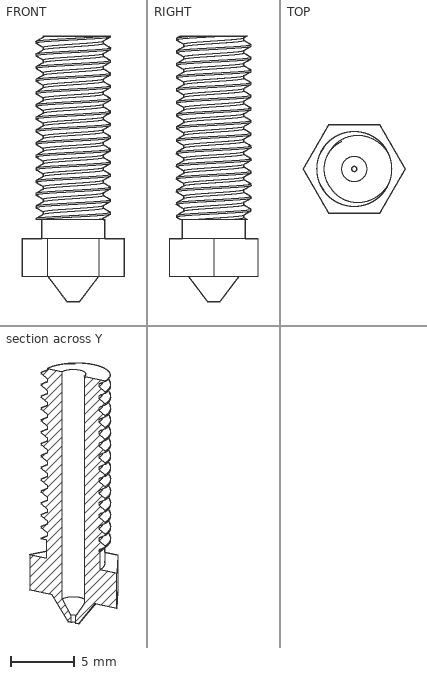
import cadquery as cq
import math

total_height = 21.0
hex_bottom = 2.0
hex_top = 5.0
thread_bottom = 6.5

hex_across_flats = 7.0
tip_diameter = 0.97
tip_base_diameter = 4.0
neck_diameter = 5.0

thread_diameter = 5.92
thread_root_diameter = 4.77
thread_turns = 14.5
thread_flank_angle = 30.0
crest_height = 0.13
ridge_embed = 0.02

bore_diameter = 2.0
orifice_diameter = 0.4
orifice_length = 0.6
bore_cone_half_angle = 33.0

thread_length = total_height - thread_bottom
pitch = thread_length / thread_turns


def cylinder(diameter, bottom, top):
    return cq.Workplane("XY").workplane(offset=bottom).circle(diameter / 2).extrude(top - bottom)


def make_tip():
    """Cone that widens from the flat tip to the underside of the hexagon."""
    outline = [
        (0, 0),
        (tip_diameter / 2, 0),
        (tip_base_diameter / 2, hex_bottom),
        (0, hex_bottom),
    ]
    return cq.Workplane("XZ").polyline(outline).close().revolve(360, (0, 0), (0, 1))


def make_hexagon():
    """Wrench hexagon with two corners on the X axis."""
    across_corners = hex_across_flats / math.cos(math.pi / 6)
    height = hex_top - hex_bottom
    return cq.Workplane("XY").workplane(offset=hex_bottom).polygon(6, across_corners).extrude(height)


def make_thread():
    """Helical ridge on a root cylinder, cut flat at both ends of the thread."""
    root_radius = thread_root_diameter / 2
    crest_radius = thread_diameter / 2
    inner_radius = root_radius - ridge_embed
    flank_slope = math.tan(math.radians(thread_flank_angle))
    half_crest = crest_height / 2
    half_base = half_crest + (crest_radius - inner_radius) * flank_slope

    helix_turns = math.ceil(thread_turns) + 2
    start_z = total_height - (helix_turns - 1) * pitch
    helix = cq.Wire.makeHelix(pitch, helix_turns * pitch, root_radius)
    path = cq.Workplane("XY").add(helix.translate(cq.Vector(0, 0, start_z)))
    profile = [
        (inner_radius, start_z - half_base),
        (crest_radius, start_z - half_crest),
        (crest_radius, start_z + half_crest),
        (inner_radius, start_z + half_base),
    ]
    ridge = cq.Workplane("XZ").polyline(profile).close().sweep(path, isFrenet=True)

    core = cylinder(thread_root_diameter, start_z - pitch, total_height + 2 * pitch)
    core = core.rotate((0, 0, 0), (0, 0, 1), -90)
    end_trim = cylinder(hex_across_flats, thread_bottom, total_height)
    return core.union(ridge, clean=False).intersect(end_trim, clean=False)


def make_passage():
    """Bore from the top, narrowing through a cone to the orifice in the tip."""
    bore_radius = bore_diameter / 2
    orifice_radius = orifice_diameter / 2
    cone_height = (bore_radius - orifice_radius) / math.tan(math.radians(bore_cone_half_angle))
    outline = [
        (0, 0),
        (orifice_radius, 0),
        (orifice_radius, orifice_length),
        (bore_radius, orifice_length + cone_height),
        (bore_radius, total_height),
        (0, total_height),
    ]
    return cq.Workplane("XZ").polyline(outline).close().revolve(360, (0, 0), (0, 1))


neck = cylinder(neck_diameter, hex_top, thread_bottom)
body = make_tip().union(make_hexagon()).union(neck).union(make_thread(), clean=False)
result = body.cut(make_passage(), clean=False)